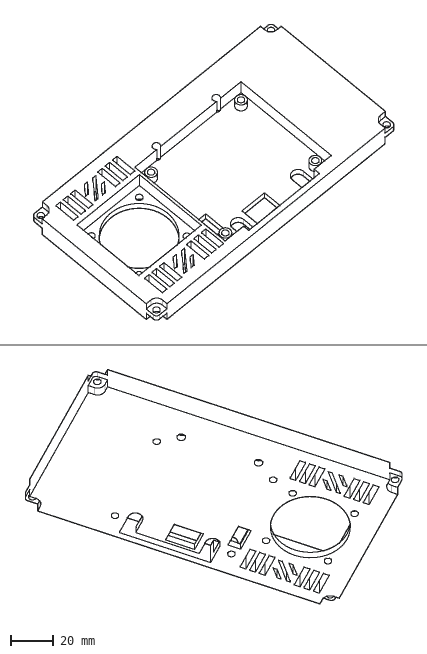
import cadquery as cq

WIDTH = 84.0
LENGTH = 160.0
HEIGHT = 12.8
CORNER_RADIUS = 2.0
FLOOR = 4.0

EAR_BOTTOM = 5.1
EAR_TOP = 8.6
EAR_WIDTH = 6.9
EAR_LENGTH = 7.0
EAR_HOLE_INSET = 3.0
EAR_RADIUS = EAR_WIDTH - EAR_HOLE_INSET
SCREW_HOLE = 3.5

BOARD_LEFT = -25.5
BOARD_WIDTH = 60.8
BOARD_BOTTOM = -27.5
BOARD_LENGTH = 71.0
STANDOFF_INSET = 5.5
STANDOFF_RIGHT_INSET = 5.3
STANDOFF_DIAMETER = 6.0
STANDOFF_HEIGHT = 4.8

CLIP_YS = (-11.5, 28.5)
CLIP_SLOT_WIDTH = 7.2
CLIP_SLOT_LEFT = 24.5
CLIP_GAP_LEFT = 35.8
CLIP_GAP_RIGHT = 38.9
CLIP_HOLE_X = -27.0
CLIP_HOLE = 4.0

WINDOWS = (
    (24.0, -5.0, 10.4, 15.0),
    (13.1, -25.0, 12.5, 6.5),
)

FAN_Y = -50.0
FAN_SIZE = 41.8
FAN_BORE = 38.0
FAN_HOLE_SPACING = 32.0

VENT_X = 30.0
VENT_WIDTH = 12.0
VENT_HEIGHT = 3.0
VENT_PITCH = 5.0
VENTS_PER_GROUP = 3
VENT_GROUP_STARTS = (-30.5, -58.5)

SLANT_SLOPE = -0.84
SLANT_OPENING = 2.0
SLANT_VENTS = (
    (-5.1, 5.1, -45.1),
    (0.3, 5.1, -44.8),
    (-5.3, 0.0, -50.5),
)


def block(left, bottom, width, length, z_low, z_high):
    """Upright block given by its lower left corner, size and height range."""
    solid = cq.Workplane("XY").box(width, length, z_high - z_low, centered=False)
    return solid.translate((left, bottom, z_low))


def rod(x, y, diameter, z_low, z_high):
    """Upright cylinder."""
    return cq.Workplane("XY", origin=(x, y, z_low)).circle(diameter / 2).extrude(z_high - z_low)


def corner_clearance(x_side, y_side, z_low, z_high):
    """Cut at one plate corner, rounded towards the middle of the plate."""
    x_corner = x_side * WIDTH / 2
    y_corner = y_side * LENGTH / 2
    outline = cq.Workplane("XY", origin=(x_corner, y_corner, z_low)).rect(2 * EAR_WIDTH, 2 * EAR_LENGTH)
    return outline.extrude(z_high - z_low).edges("|Z").fillet(EAR_RADIUS)


def make_plate():
    plate = cq.Workplane("XY").box(WIDTH, LENGTH, HEIGHT, centered=(True, True, False))
    plate = plate.edges("|Z").fillet(CORNER_RADIUS)
    for x_side in (-1, 1):
        for y_side in (-1, 1):
            hole_x = x_side * (WIDTH / 2 - EAR_HOLE_INSET)
            hole_y = y_side * (LENGTH / 2 - EAR_HOLE_INSET)
            plate = plate.cut(corner_clearance(x_side, y_side, 0, EAR_BOTTOM))
            plate = plate.cut(corner_clearance(x_side, y_side, EAR_TOP, HEIGHT))
            plate = plate.cut(rod(hole_x, hole_y, SCREW_HOLE, 0, HEIGHT))
    return plate


def add_board_pocket(body):
    body = body.cut(block(BOARD_LEFT, BOARD_BOTTOM, BOARD_WIDTH, BOARD_LENGTH, FLOOR, HEIGHT))
    standoff_xs = (BOARD_LEFT + STANDOFF_INSET, BOARD_LEFT + BOARD_WIDTH - STANDOFF_RIGHT_INSET)
    standoff_ys = (BOARD_BOTTOM + STANDOFF_INSET, BOARD_BOTTOM + BOARD_LENGTH - STANDOFF_INSET)
    for x in standoff_xs:
        for y in standoff_ys:
            body = body.union(rod(x, y, STANDOFF_DIAMETER, FLOOR, FLOOR + STANDOFF_HEIGHT))
            body = body.cut(rod(x, y, SCREW_HOLE, 0, HEIGHT))
    for left, bottom, width, length in WINDOWS:
        body = body.cut(block(left, bottom, width, length, 0, HEIGHT))
    return body


def cut_clip_openings(body):
    gap_bottom = min(CLIP_YS) - CLIP_SLOT_WIDTH / 2
    gap_length = max(CLIP_YS) - min(CLIP_YS) + CLIP_SLOT_WIDTH
    gap_width = CLIP_GAP_RIGHT - CLIP_GAP_LEFT
    board_right = BOARD_LEFT + BOARD_WIDTH
    body = body.cut(block(CLIP_GAP_LEFT, gap_bottom, gap_width, gap_length, 0, HEIGHT))
    body = body.cut(block(board_right, gap_bottom, gap_width, gap_length, FLOOR, HEIGHT))
    slot_end_x = CLIP_SLOT_LEFT + CLIP_SLOT_WIDTH / 2
    slot_length = CLIP_GAP_RIGHT - slot_end_x
    for y in CLIP_YS:
        slot_bottom = y - CLIP_SLOT_WIDTH / 2
        body = body.cut(block(slot_end_x, slot_bottom, slot_length, CLIP_SLOT_WIDTH, 0, HEIGHT))
        body = body.cut(rod(slot_end_x, y, CLIP_SLOT_WIDTH, 0, HEIGHT))
        body = body.cut(rod(CLIP_HOLE_X, y, CLIP_HOLE, 0, HEIGHT))
    return body


def cut_fan_seat(body):
    body = body.cut(block(-FAN_SIZE / 2, FAN_Y - FAN_SIZE / 2, FAN_SIZE, FAN_SIZE, FLOOR, HEIGHT))
    body = body.cut(rod(0, FAN_Y, FAN_BORE, 0, HEIGHT))
    for x_side in (-1, 1):
        for y_side in (-1, 1):
            hole_x = x_side * FAN_HOLE_SPACING / 2
            hole_y = FAN_Y + y_side * FAN_HOLE_SPACING / 2
            body = body.cut(rod(hole_x, hole_y, SCREW_HOLE, 0, HEIGHT))
    return body


def slanted_vent(center_x, left, right, left_y):
    """Slanted slot with upright ends."""
    right_y = left_y + SLANT_SLOPE * (right - left)
    half = SLANT_OPENING / 2
    outline = [
        (center_x + left, left_y - half),
        (center_x + right, right_y - half),
        (center_x + right, right_y + half),
        (center_x + left, left_y + half),
    ]
    return cq.Workplane("XY").polyline(outline).close().extrude(HEIGHT)


def cut_vents(body):
    for center_x in (-VENT_X, VENT_X):
        for group_start in VENT_GROUP_STARTS:
            for row in range(VENTS_PER_GROUP):
                left = center_x - VENT_WIDTH / 2
                bottom = group_start - row * VENT_PITCH - VENT_HEIGHT / 2
                body = body.cut(block(left, bottom, VENT_WIDTH, VENT_HEIGHT, 0, HEIGHT))
        for left, right, left_y in SLANT_VENTS:
            body = body.cut(slanted_vent(center_x, left, right, left_y))
    return body


result = make_plate()
result = add_board_pocket(result)
result = cut_clip_openings(result)
result = cut_fan_seat(result)
result = cut_vents(result)